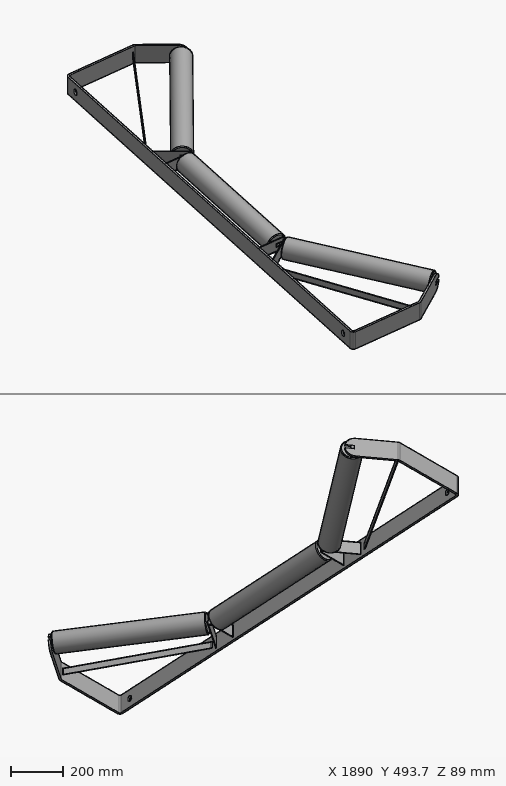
import cadquery as cq
import math

FRAME_LENGTH = 1890.0
STRAP_WIDTH = 85.0
STRAP_THICKNESS = 8.7
BEND_RADIUS = 15.0
BEND_HEIGHT = 320.0
TROUGH_ANGLE = 35.0
FLAP_LENGTH = 210.0
SEAT_DISTANCE = 180.0

MOUNT_HOLE_WIDTH = 17.0
MOUNT_HOLE_HEIGHT = 26.0
MOUNT_HOLE_X = 883.0

ROLLER_DIAMETER = 89.0
ROLLER_LENGTH = 601.0
ROLLER_CHAMFER = 4.0
ROLLER_GAP = 5.0
SHAFT_DIAMETER = 15.0
MIDDLE_AXIS_HEIGHT = 102.0

BRACKET_WIDTH = 57.0
BRACKET_THICKNESS = 4.0
BRACKET_BEND_RADIUS = 8.0

BRACE_THICKNESS = 4.0
BRACE_WIDTH = 30.0
BRACE_TOP = 308.0
BRACE_FOOT_X = 425.0

HALF_LENGTH = FRAME_LENGTH / 2
INNER_HALF_LENGTH = HALF_LENGTH - STRAP_THICKNESS
SIN = math.sin(math.radians(TROUGH_ANGLE))
COS = math.cos(math.radians(TROUGH_ANGLE))
POST_X = ROLLER_LENGTH / 2 + ROLLER_GAP
LEG_DISTANCE = STRAP_THICKNESS + ROLLER_LENGTH + 2 * ROLLER_GAP
OVERSHOOT = 57.0


def tilted_point(up_flap, along_axis):
    """Point measured up the left flap's outer face and inwards along the tilted roller axis."""
    return (
        -HALF_LENGTH + up_flap * SIN + along_axis * COS,
        BEND_HEIGHT + up_flap * COS - along_axis * SIN,
    )


def tilted_plane(up_flap, along_axis):
    """Plane across the left tilted roller: local x is -Z, local y runs up the flap."""
    x, y = tilted_point(up_flap, along_axis)
    return cq.Plane(origin=(x, y, 0), xDir=(0, 0, -1), normal=(COS, -SIN, 0))


def mirrored(body):
    """The same body on the other side of the centre plane X = 0."""
    return body.mirror("YZ")


def plate(points, width):
    """Outline in X and Y, extruded to the given width, centred on Z = 0."""
    return cq.Workplane("XY").polyline(points).close().extrude(width / 2, both=True)


def round_edge(body, point, radius):
    """Round the edge parallel to Z that passes through the given X, Y point."""
    nearest = cq.selectors.NearestToPointSelector((*point, 0))
    return body.edges("|Z").edges(nearest).fillet(radius)


def trim_to_frame(body):
    """Keep what lies between the end posts and above the base bar."""
    inside = (
        cq.Workplane("XY")
        .rect(2 * INNER_HALF_LENGTH, BEND_HEIGHT)
        .extrude(STRAP_WIDTH, both=True)
        .translate((0, STRAP_THICKNESS + BEND_HEIGHT / 2, 0))
    )
    return body.intersect(inside)


def tilted_slot(along_axis, thickness):
    """Open slot that seats a tilted shaft end in a plate of the given thickness."""
    return (
        cq.Workplane(tilted_plane(SEAT_DISTANCE - SHAFT_DIAMETER / 2, along_axis))
        .rect(SHAFT_DIAMETER, 2 * OVERSHOOT)
        .extrude(thickness)
        .translate((OVERSHOOT * SIN, OVERSHOOT * COS, 0))
    )


def make_frame():
    bend_inset = STRAP_THICKNESS * math.tan(math.radians(TROUGH_ANGLE / 2))
    inner_bend = (-INNER_HALF_LENGTH, BEND_HEIGHT - bend_inset)
    inner_corner = (-INNER_HALF_LENGTH, STRAP_THICKNESS)
    outer_bend = (-HALF_LENGTH, BEND_HEIGHT)
    outer_corner = (-HALF_LENGTH, 0)
    left = [
        outer_corner,
        outer_bend,
        tilted_point(FLAP_LENGTH, 0),
        tilted_point(FLAP_LENGTH, STRAP_THICKNESS),
        inner_bend,
        inner_corner,
    ]
    right = [(-x, y) for x, y in reversed(left)]
    frame = plate(left + right, STRAP_WIDTH)

    inner_radius = BEND_RADIUS - STRAP_THICKNESS
    rounded = [
        (outer_corner, BEND_RADIUS),
        (outer_bend, BEND_RADIUS),
        (inner_bend, inner_radius),
        (inner_corner, inner_radius),
    ]
    for (x, y), radius in rounded:
        frame = round_edge(frame, (x, y), radius)
        frame = round_edge(frame, (-x, y), radius)

    for cutter in (flap_tip_waste(), tilted_slot(0, STRAP_THICKNESS)):
        frame = frame.cut(cutter).cut(mirrored(cutter))

    mount_holes = (
        cq.Workplane("XZ")
        .pushPoints([(-MOUNT_HOLE_X, 0), (MOUNT_HOLE_X, 0)])
        .slot2D(MOUNT_HOLE_HEIGHT, MOUNT_HOLE_WIDTH, 90)
        .extrude(-STRAP_THICKNESS)
    )
    return frame.cut(mount_holes)


def flap_tip_waste():
    """Material outside the half-round tip of the left flap."""
    radius = STRAP_WIDTH / 2
    plane = tilted_plane(FLAP_LENGTH - radius, 0)
    waste = (
        cq.Workplane(plane)
        .moveTo(-radius, 0)
        .threePointArc((0, radius), (radius, 0))
        .lineTo(radius, radius + OVERSHOOT)
        .lineTo(-radius, radius + OVERSHOOT)
        .close()
    )
    return waste.extrude(STRAP_THICKNESS)


def make_roller(left_plate, right_plate):
    """Roller along X from the origin, its shaft ends flush with the far faces of both plates."""
    drum = cq.Workplane("YZ").circle(ROLLER_DIAMETER / 2).extrude(ROLLER_LENGTH)
    drum = drum.faces("<X or >X").chamfer(ROLLER_CHAMFER)
    shaft_start = -ROLLER_GAP - left_plate
    shaft_end = ROLLER_LENGTH + ROLLER_GAP + right_plate
    shaft = (
        cq.Workplane("YZ", origin=(shaft_start, 0, 0))
        .circle(SHAFT_DIAMETER / 2)
        .extrude(shaft_end - shaft_start)
    )
    return drum.union(shaft)


def make_middle_roller():
    roller = make_roller(BRACKET_THICKNESS, BRACKET_THICKNESS)
    return roller.translate((-ROLLER_LENGTH / 2, MIDDLE_AXIS_HEIGHT, 0))


def make_tilted_roller():
    """Left tilted roller, square to the flap."""
    x, y = tilted_point(SEAT_DISTANCE, STRAP_THICKNESS + ROLLER_GAP)
    roller = make_roller(STRAP_THICKNESS, BRACKET_THICKNESS)
    return roller.rotate((0, 0, 0), (0, 0, 1), -TROUGH_ANGLE).translate((x, y, 0))


def make_bracket():
    """Left bracket: a post beside the middle roller and a leg square to the tilted roller."""
    post_x = -POST_X

    def leg_foot(along_axis):
        """Where a face of the sloped leg meets the top of the bar."""
        up_flap = (STRAP_THICKNESS - BEND_HEIGHT + along_axis * SIN) / COS
        return tilted_point(up_flap, along_axis)

    def apex(along_axis, x):
        """Where a face of the sloped leg meets the post face at the given x."""
        up_flap = (x + HALF_LENGTH - along_axis * COS) / SIN
        return tilted_point(up_flap, along_axis)

    outer_apex = apex(LEG_DISTANCE, post_x)
    inner_apex = apex(LEG_DISTANCE + BRACKET_THICKNESS, post_x - BRACKET_THICKNESS)
    bracket = plate(
        [
            leg_foot(LEG_DISTANCE),
            outer_apex,
            (post_x, STRAP_THICKNESS),
            (post_x - BRACKET_THICKNESS, STRAP_THICKNESS),
            inner_apex,
            leg_foot(LEG_DISTANCE + BRACKET_THICKNESS),
        ],
        BRACKET_WIDTH,
    )
    bracket = round_edge(bracket, outer_apex, BRACKET_BEND_RADIUS)
    bracket = round_edge(bracket, inner_apex, BRACKET_BEND_RADIUS - BRACKET_THICKNESS)
    post_slot = (
        cq.Workplane("XY")
        .box(BRACKET_THICKNESS, OVERSHOOT, SHAFT_DIAMETER, centered=(False, False, True))
        .translate((post_x - BRACKET_THICKNESS, MIDDLE_AXIS_HEIGHT - SHAFT_DIAMETER / 2, 0))
    )
    return bracket.cut(post_slot).cut(tilted_slot(LEG_DISTANCE, BRACKET_THICKNESS))


def make_brace():
    """Left brace: a flat bar from the end post down to the base bar."""
    run = INNER_HALF_LENGTH - BRACE_FOOT_X
    drop = BRACE_TOP - STRAP_THICKNESS
    length = math.hypot(run, drop)
    bar = (
        cq.Workplane("XY")
        .box(length + 2 * OVERSHOOT, BRACE_THICKNESS, BRACE_WIDTH)
        .rotate((0, 0, 0), (0, 0, 1), -math.degrees(math.atan2(drop, run)))
        .translate((-INNER_HALF_LENGTH + run / 2, STRAP_THICKNESS + drop / 2, 0))
    )
    return trim_to_frame(bar)


frame = make_frame()
middle_roller = make_middle_roller()
side_bodies = []
for make_side_body in (make_tilted_roller, make_bracket, make_brace):
    left_body = make_side_body()
    side_bodies += [left_body.val(), mirrored(left_body).val()]

result = cq.Compound.makeCompound([frame.val(), middle_roller.val(), *side_bodies])